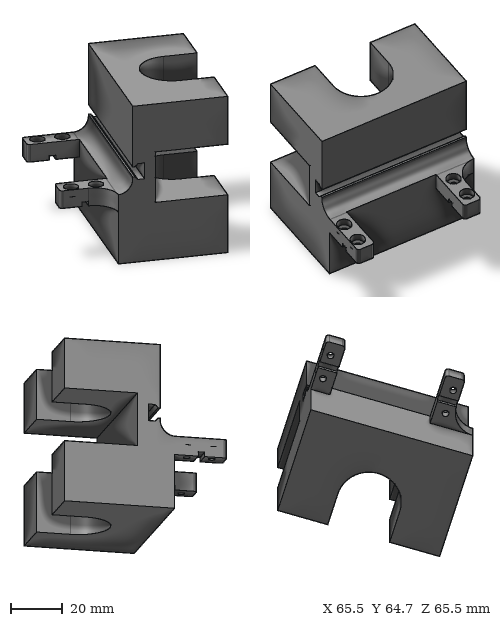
import cadquery as cq
import math

width = 65.5
height = 65.5
length = 64.7
upper_depth = 38.1
lower_depth = 43.8

channel_depth = 29.0
channel_bottom = 24.25
channel_top = 45.4

groove_center = 37.9
groove_height = 6.6
groove_mouth = 4.1
groove_depth = 4.7
groove_lip = 0.85
groove_chamfer = (groove_height - groove_mouth) / 2

arm_top = 29.0
arm_thickness = 7.4
arm_bottom = arm_top - arm_thickness
arm_width = 7.7
right_arm_x = 48.3
arm_corner_radius = 1.25
blend_radius = 6.0
gusset_radius = width - right_arm_x - arm_width

notch_from_tip = 8.9
notch_width = 2.55
notch_height = 1.8

hole_diameter = 2.55
counterbore_diameter = 5.9
counterbore_depth = 3.0
hole_side_offset = 3.2
hole_tip_offset = 5.3
hole_spacing = 10.0

cutout_width = 25.0
cutout_depth = 26.1


def box(x, y, z, size_x, size_y, size_z):
    """Box with its minimum corner at (x, y, z)."""
    return cq.Workplane("XY").box(size_x, size_y, size_z, centered=False).translate((x, y, z))


def make_body():
    """Extrude the side profile, including channel, groove, blend and the arm slab."""
    front = -upper_depth
    lip_back = front + groove_lip
    chamfer_back = lip_back + groove_chamfer
    groove_back = front + groove_depth
    mouth_low = groove_center - groove_mouth / 2
    mouth_high = groove_center + groove_mouth / 2
    groove_low = groove_center - groove_height / 2
    groove_high = groove_center + groove_height / 2
    blend_y = front - blend_radius
    blend_z = arm_top + blend_radius
    notch_front = notch_from_tip - length
    notch_back = notch_front + notch_width
    notch_top = arm_bottom + notch_height
    blend_mid = (
        blend_y + blend_radius * math.cos(math.radians(45)),
        blend_z - blend_radius * math.sin(math.radians(45)),
    )
    return (
        cq.Workplane("YZ")
        .moveTo(0, 0)
        .lineTo(-lower_depth, 0)
        .lineTo(-lower_depth, arm_bottom)
        .lineTo(notch_back, arm_bottom)
        .lineTo(notch_back, notch_top)
        .lineTo(notch_front, notch_top)
        .lineTo(notch_front, arm_bottom)
        .lineTo(-length, arm_bottom)
        .lineTo(-length, arm_top)
        .lineTo(blend_y, arm_top)
        .threePointArc(blend_mid, (front, blend_z))
        .lineTo(front, mouth_low)
        .lineTo(lip_back, mouth_low)
        .lineTo(chamfer_back, groove_low)
        .lineTo(groove_back, groove_low)
        .lineTo(groove_back, groove_high)
        .lineTo(chamfer_back, groove_high)
        .lineTo(lip_back, mouth_high)
        .lineTo(front, mouth_high)
        .lineTo(front, height)
        .lineTo(0, height)
        .lineTo(0, channel_top)
        .lineTo(-channel_depth, channel_top)
        .lineTo(-channel_depth, channel_bottom)
        .lineTo(0, channel_bottom)
        .close()
        .extrude(width)
    )


def make_gap_between_arms():
    """Free space between the two arms, in front of the lower body."""
    return box(arm_width, -length, 0, right_arm_x - arm_width, length - lower_depth, height)


def make_side_clearance():
    """Free space beside the right arm, rounded where the arm meets the body."""
    arm_side = right_arm_x + arm_width
    clearance = box(arm_side, -length, 0, gusset_radius, length - lower_depth, height)
    corner_y = -lower_depth - gusset_radius
    corner = box(arm_side, corner_y, 0, gusset_radius, gusset_radius, height)
    round_cut = cq.Workplane("XY").center(width, corner_y).circle(gusset_radius).extrude(height)
    return clearance.cut(corner.cut(round_cut))


def make_hole_tool():
    """Counterbored hole cutter for all four arm holes."""
    first_hole_y = hole_tip_offset - length
    right_hole_x = right_arm_x + arm_width - hole_side_offset
    centers = [
        (x, y)
        for x in (hole_side_offset, right_hole_x)
        for y in (first_hole_y, first_hole_y + hole_spacing)
    ]
    holes = (
        cq.Workplane("XY", origin=(0, 0, arm_bottom))
        .pushPoints(centers)
        .circle(hole_diameter / 2)
        .extrude(arm_thickness)
    )
    counterbores = (
        cq.Workplane("XY", origin=(0, 0, arm_top - counterbore_depth))
        .pushPoints(centers)
        .circle(counterbore_diameter / 2)
        .extrude(counterbore_depth)
    )
    return holes.union(counterbores)


def make_cutout():
    """Vertical through-cut with a semicircular inner end."""
    radius = cutout_width / 2
    center_y = radius - cutout_depth
    round_end = cq.Workplane("XY").center(width / 2, center_y).circle(radius).extrude(height)
    return box(width / 2 - radius, center_y, 0, cutout_width, -center_y, height).union(round_end)


result = make_body().cut(make_gap_between_arms()).cut(make_side_clearance())
result = result.edges("|Z and <Y").fillet(arm_corner_radius)
result = result.cut(make_hole_tool()).cut(make_cutout())